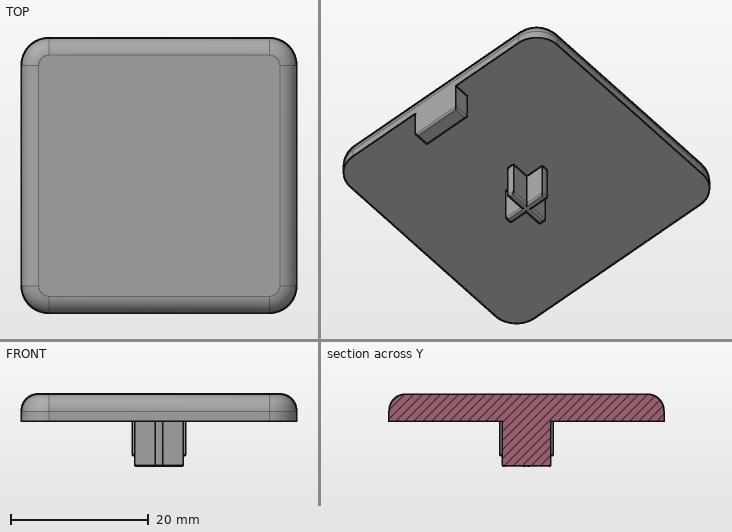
import cadquery as cq

plate_side = 40.0
plate_thickness = 4.0
plate_corner_radius = 4.0
plate_top_fillet = 2.5

post_diameter = 7.1
post_arm_thickness = 1.14
post_length = 6.5
post_tip_fillet = 0.3

tab_width = 7.8
tab_depth = 2.5
tab_length = 5.0
tab_tip_fillet = 0.3


def make_plate():
    """Square plate with rounded corners and a rounded top edge."""
    plate = cq.Workplane("XY").rect(plate_side, plate_side).extrude(plate_thickness)
    plate = plate.edges("|Z").fillet(plate_corner_radius)
    return plate.faces(">Z").edges().fillet(plate_top_fillet)


def make_post():
    """Cross-shaped post whose arm ends lie on a common cylinder."""
    arm_along_x = cq.Workplane("XY").rect(post_diameter, post_arm_thickness).extrude(-post_length)
    arm_along_y = cq.Workplane("XY").rect(post_arm_thickness, post_diameter).extrude(-post_length)
    envelope = cq.Workplane("XY").circle(post_diameter / 2).extrude(-post_length)
    cross = arm_along_x.union(arm_along_y).intersect(envelope)
    return cross.faces("<Z").edges().fillet(post_tip_fillet)


def make_tab():
    """Tab flush with the +Y side of the plate, rounded around its tip."""
    tab_center_y = plate_side / 2 - tab_depth / 2
    tab = cq.Workplane("XY").center(0, tab_center_y).rect(tab_width, tab_depth).extrude(-tab_length)
    return tab.faces("<Z").edges().fillet(tab_tip_fillet)


result = make_plate().union(make_post()).union(make_tab())